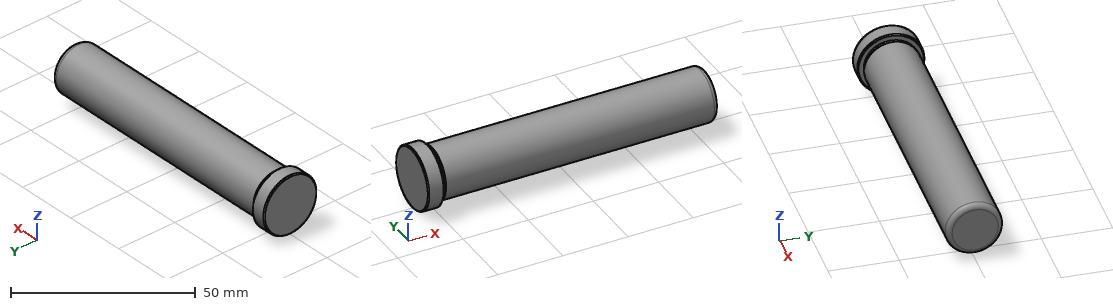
import cadquery as cq

total_length = 90.0
head_diameter = 19.0
head_length = 5.0
head_chamfer = 0.4
shank_diameter = 16.0

groove_width = 1.3
groove_depth = 0.3
groove_run_out = 0.3

tip_fillet = 1.5

head_radius = head_diameter / 2
shank_radius = shank_diameter / 2
groove_radius = shank_radius - groove_depth
groove_end = head_length + groove_width
tip_radius = shank_radius - tip_fillet

profile = (
    cq.Workplane("XY")
    .moveTo(0, 0)
    .lineTo(0, head_radius - head_chamfer)
    .lineTo(head_chamfer, head_radius)
    .lineTo(head_length - head_chamfer, head_radius)
    .lineTo(head_length, head_radius - head_chamfer)
    .lineTo(head_length, groove_radius)
    .lineTo(groove_end - groove_run_out, groove_radius)
    .lineTo(groove_end, shank_radius)
    .lineTo(total_length - tip_fillet, shank_radius)
    .tangentArcPoint((total_length, tip_radius), relative=False)
    .lineTo(total_length, 0)
    .close()
)

result = profile.revolve(360, (0, 0, 0), (1, 0, 0))